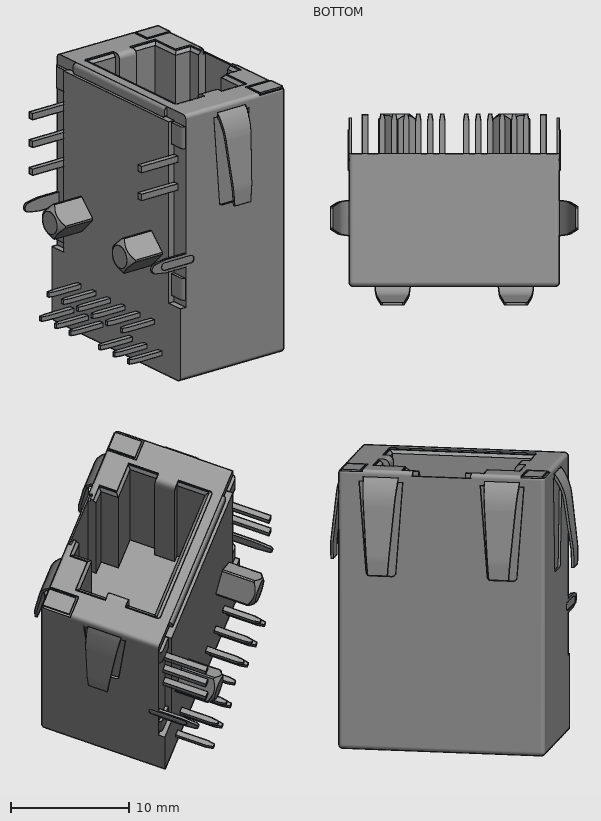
import cadquery as cq


width = 17.78
depth = 11.25
height = 24.13
half_width = width / 2
edge_radius = 0.35
shield_thickness = 0.2

plate_half_width = 7.26
plate_top = 23.2
strip_bottom = 6.65
strip_setback = 0.58

fold_setback = 0.3
fold_radius = 0.39
top_tab_half_width = 6.32
top_tab_chamfer = 0.15
clip_height = 1.98
clip_bottoms = (7.3, 21.11)

cavity_depth = 14.48
mouth_half_width = 5.95
mouth_front = 2.0
mouth_back = 8.78
latch_half_width = 3.15
latch_back = 10.35
slot_half_width = 2.03
slot_back = 11.1
lead_in = 0.27
lip_margin = 0.1
lip_depth = 0.12
lip_front = 1.45
lip_corner_radius = 0.25
latch_gap_half_width = 2.5
wall_gap_depth = 0.43

rib_half_width = 1.8 / 2
rib_center_y = 5.45
rib_inner_x = 5.4
rib_radius = 0.5

light_inner_x = 6.83
light_front_y = 8.57
light_groove = 0.17
light_side_groove = 0.27
light_back_groove = 0.1
light_corner_radius = 0.1
light_groove_depth = 0.15

finger_reach = 1.57
finger_thickness = 0.22
finger_top = 23.58
finger_bend_z = 21.25
finger_bend_reach = 1.0
finger_knee_z = 16.85
finger_knee_radius = 4.83
finger_bottom = 15.4
finger_top_half_width = 3.02 / 2
finger_bottom_half_width = 0.85
window_top = 23.2
window_bottom = 15.03
window_top_half_width = 1.88
window_bottom_half_width = 1.25
window_radius = 0.35
side_finger_y = rib_center_y
back_finger_x = 5.21

pin_reach = 3.35
board_part_z = 10.93

embed = 0.25

peg_x = 4.83
peg_half_diagonal = 1.66
peg_corner_radius = 3.15 / 2
peg_tip_radius = 1.01
peg_tip_length = 0.45

light_pin_reach = 3.28
light_pin_x = 7.53
light_pin_width = 0.5
light_pin_height = 0.58
pin_pitch = 2.53
light_pin_top_z = 19.8
light_pin_counts = {-1: 3, 1: 2}

contact_step = 1.01
contact_width = 0.48
contact_height = 0.4
contact_tip_width = 0.27
contact_tip_length = 0.6
lower_row_z = 1.79
contact_rows = {
    lower_row_z: (2, 4, 6),
    lower_row_z + pin_pitch: (1, 3, 5),
}

blade_thickness = 0.22
blade_half_height = 0.6
blade_tip_y = -3.02
blade_taper_y = -1.55
blade_tip_half_height = 0.4
blade_tip_length = 0.3
bead_back_y = 1.42
bead_front_y = -2.0
bead_width = 0.68
bead_height = 0.1
bead_edge_radius = 0.07


def block(x0, x1, y0, y1, z0, z1):
    """Axis-aligned box between two opposite corners."""
    return cq.Workplane("XY").box(x1 - x0, y1 - y0, z1 - z0, centered=False).translate((x0, y0, z0))


def both_sides(shape):
    """The shape together with its mirror image across X = 0."""
    return shape.union(shape.mirror("YZ"))


def housing():
    shell = block(-half_width, half_width, 0, depth, 0, height)
    shell = shell.edges("|Y or >Y").fillet(edge_radius)
    strip = block(plate_half_width, half_width, 0, strip_setback, strip_bottom, height)
    above_plate = block(-half_width, half_width, 0, strip_setback, plate_top, height)
    return shell.cut(both_sides(strip)).cut(above_plate)


def shield_folds():
    back = strip_setback + embed
    tab = block(-top_tab_half_width, top_tab_half_width, fold_setback, back, plate_top, height)
    tab = tab.edges("|Y and <Z").chamfer(top_tab_chamfer)
    folds = tab.edges("<Y and >Z").fillet(fold_radius)
    for bottom in clip_bottoms:
        clip = block(plate_half_width - embed, half_width, fold_setback, back, bottom, bottom + clip_height)
        folds = folds.union(both_sides(clip.edges("<Y and >X").fillet(fold_radius)))
    return folds


def opening_section(z, front, grow_x, grow_y):
    """Closed T outline of the plug body and latch step at height z, enlarged sideways and backwards."""
    body_x = mouth_half_width + grow_x
    step_x = latch_half_width + grow_x
    body_y = mouth_back + grow_y
    step_y = latch_back + grow_y
    return (
        cq.Workplane("XY", origin=(0, 0, z))
        .polyline([
            (-body_x, front), (body_x, front), (body_x, body_y), (step_x, body_y),
            (step_x, step_y), (-step_x, step_y), (-step_x, body_y), (-body_x, body_y),
        ])
        .close()
    )


def plug_opening():
    floor = height - cavity_depth
    lip_z = height - lip_depth
    opening = opening_section(floor, mouth_front, 0, 0).extrude(cavity_depth)
    chamfer_bottom = opening_section(lip_z - lead_in, mouth_front, 0, 0).val()
    chamfer_top = opening_section(lip_z, mouth_front - lead_in, lead_in, lead_in).val()
    chamfer = cq.Workplane(obj=cq.Solid.makeLoft([chamfer_bottom, chamfer_top], True))
    lip = opening_section(lip_z, lip_front, lead_in + lip_margin, lead_in).extrude(lip_depth)
    lip = lip.edges("|Z and <Y").fillet(lip_corner_radius)
    slot = block(-slot_half_width, slot_half_width, mouth_back, slot_back, floor, height)
    return opening.union(chamfer).union(lip).union(slot)


def latch_gap():
    """Lowered stretch of the back edge behind the latch slot; the wall inside the shield is lower still."""
    shield_gap = block(
        -latch_gap_half_width, latch_gap_half_width, slot_back, depth, height - edge_radius, height
    )
    wall_gap = block(
        -latch_gap_half_width, latch_gap_half_width,
        depth - edge_radius, slot_back, height - wall_gap_depth, height,
    )
    return shield_gap.union(wall_gap)


def opening_ribs():
    rib = block(
        rib_inner_x, top_tab_half_width + embed,
        rib_center_y - rib_half_width, rib_center_y + rib_half_width,
        height - cavity_depth - embed, height,
    )
    return both_sides(rib.edges("<X and >Z").fillet(rib_radius))


def light_corners():
    """Corner areas of the top face cleared around and above the lights."""
    floor = height - light_groove_depth
    return both_sides(block(light_inner_x, half_width, light_front_y, depth, floor, height))


def lights():
    light = block(
        light_inner_x + light_groove, half_width - light_side_groove,
        light_front_y + light_groove, depth - light_back_groove,
        height - light_groove_depth - embed, height,
    )
    return both_sides(light.edges("|Z and >X and >Y").fillet(light_corner_radius))


def tapered_plate(top, bottom, top_half, bottom_half, length):
    """Trapezoid standing in YZ, centred on Y = 0, extruded along +X from X = 0."""
    return (
        cq.Workplane("YZ")
        .polyline([(-top_half, top), (top_half, top), (bottom_half, bottom), (-bottom_half, bottom)])
        .close()
        .extrude(length)
    )


def under_finger(offset):
    """Solid under the outer face of a finger, its faces pulled in and down by offset."""
    root_x = -shield_thickness
    return (
        cq.Workplane("XZ")
        .moveTo(root_x, finger_bottom)
        .lineTo(finger_reach - offset, finger_bottom)
        .lineTo(finger_reach - offset, finger_knee_z)
        .lineTo(finger_bend_reach - offset, finger_bend_z)
        .tangentArcPoint((-offset, finger_top - offset), relative=False)
        .lineTo(root_x, finger_top - offset)
        .close()
        .extrude(finger_top_half_width, both=True)
        .edges(cq.selectors.NearestToPointSelector((finger_reach - offset, 0, finger_knee_z)))
        .fillet(finger_knee_radius)
    )


def finger():
    """Spring finger leaning out along +X from a wall at X = 0."""
    band = under_finger(0).cut(under_finger(finger_thickness))
    outline = tapered_plate(
        finger_top, finger_bottom, finger_top_half_width, finger_bottom_half_width,
        finger_reach + shield_thickness,
    ).translate((-shield_thickness, 0, 0))
    return band.intersect(outline)


def finger_window():
    """Opening in the shield behind a finger, cut into a wall at X = 0."""
    window = tapered_plate(
        window_top, window_bottom, window_top_half_width, window_bottom_half_width, shield_thickness
    )
    return window.edges("|X and <Z").fillet(window_radius).translate((-shield_thickness, 0, 0))


def on_walls(shape):
    """Copies of a +X facing shape on both side walls and twice on the back wall."""
    side = shape.translate((half_width, side_finger_y, 0))
    back = shape.rotate((0, 0, 0), (0, 0, 1), 90).translate((back_finger_x, depth, 0))
    return both_sides(side).union(both_sides(back))


def pegs():
    length = pin_reach + embed
    bar = (
        cq.Workplane("XZ", origin=(0, embed, 0))
        .polygon(4, 2 * peg_half_diagonal)
        .extrude(length)
    )
    envelope = (
        cq.Workplane("XZ", origin=(0, embed, 0))
        .circle(peg_corner_radius)
        .extrude(length)
        .faces("<Y")
        .chamfer(peg_tip_length, peg_corner_radius - peg_tip_radius)
    )
    return both_sides(bar.intersect(envelope).translate((peg_x, 0, board_part_z)))


def light_pins():
    pins = cq.Workplane("XY")
    for side, count in light_pin_counts.items():
        for index in range(count):
            x = side * light_pin_x
            z = light_pin_top_z - index * pin_pitch
            pins = pins.union(block(
                x - light_pin_width / 2, x + light_pin_width / 2,
                -light_pin_reach, strip_setback + embed,
                z - light_pin_height / 2, z + light_pin_height / 2,
            ))
    return pins


def contact_pin():
    half = contact_width / 2
    tip_half = contact_tip_width / 2
    shoulder = -pin_reach + contact_tip_length
    return (
        cq.Workplane("XY")
        .polyline([
            (-half, embed), (half, embed), (half, shoulder),
            (tip_half, -pin_reach), (-tip_half, -pin_reach), (-half, shoulder),
        ])
        .close()
        .extrude(contact_height / 2, both=True)
    )


def contact_pins():
    pins = cq.Workplane("XY")
    for z, steps in contact_rows.items():
        for step in steps:
            pins = pins.union(both_sides(contact_pin().translate((step * contact_step, 0, z))))
    return pins


def ground_blades():
    root_y = bead_back_y + embed
    blade = (
        cq.Workplane("YZ", origin=(half_width - blade_thickness, 0, board_part_z))
        .moveTo(root_y, -blade_half_height)
        .lineTo(blade_taper_y, -blade_half_height)
        .lineTo(blade_tip_y + blade_tip_length, -blade_tip_half_height)
        .threePointArc((blade_tip_y, 0), (blade_tip_y + blade_tip_length, blade_tip_half_height))
        .lineTo(blade_taper_y, blade_half_height)
        .lineTo(root_y, blade_half_height)
        .close()
        .extrude(blade_thickness)
    )
    bead = (
        cq.Workplane("YZ", origin=(half_width, (bead_back_y + bead_front_y) / 2, board_part_z))
        .slot2D(bead_back_y - bead_front_y, bead_width)
        .extrude(bead_height)
        .faces(">X")
        .edges()
        .fillet(bead_edge_radius)
    )
    return both_sides(blade.union(bead))


result = (
    housing()
    .union(shield_folds())
    .cut(plug_opening())
    .cut(latch_gap())
    .union(opening_ribs())
    .cut(light_corners())
    .union(lights())
    .cut(on_walls(finger_window()))
    .union(on_walls(finger()))
    .union(pegs())
    .union(light_pins())
    .union(contact_pins())
    .union(ground_blades())
)